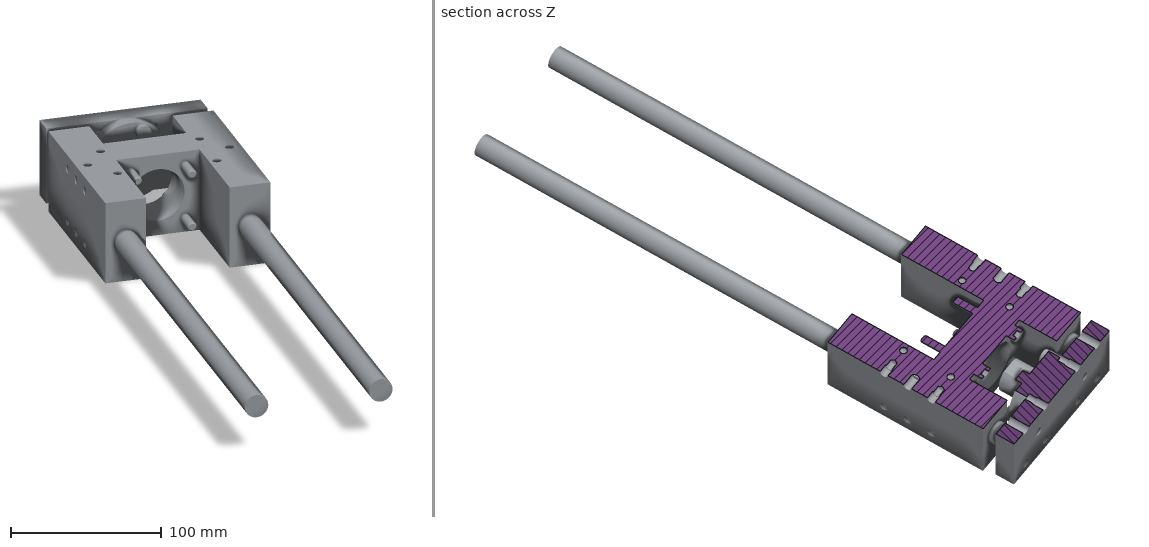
import cadquery as cq

housing_front = 24.0
housing_length = 125.0
housing_back = housing_front + housing_length
housing_width = 115.0
housing_height = 58.0
pocket_width = 58.0
web_front = 54.0
web_back = 83.0
web_bore_diameter = 37.0

overall_length = 437.0
plate_thickness = 15.0
plate_width = 112.5
plate_height = 54.0
rod_diameter = 16.0
rod_y = 43.3
flange_diameter = 55.0
boss_diameter = 24.0
boss_end = 42.5
boss_flat_start = 33.0
boss_across_flats = 21.0

flange_screw_diameter = 10.0
flange_screw_head = 5.2
flange_screw_circle = 45.0
flange_screw_angle = 20.0
flange_screw_count = 4

screw_pitch = 38.0
web_screw_head_diameter = 10.5
web_screw_head = 6.5
web_screw_shank_diameter = 6.0
web_screw_tip = 99.0
web_screw_tip_chamfer = 1.0
web_screw_socket = 5.0
web_screw_socket_depth = 3.0
socket_sides = 6

plate_thread_depth = 8.7
corner_hole_diameter = 6.5
corner_hole_spacing = 84.0
centre_hole_diameter = 6.0
centre_hole_spacing = 54.0

mount_x = 84.8
mount_pitch = screw_pitch
thread_diameter = 6.0
thread_depth = 6.0
core_diameter = 5.0
core_depth = 12.0
core_tip = 1.5
dowel_diameter = 6.0
dowel_depth = 10.0
top_thread_spacing = 69.0
top_dowel_spacing = 98.8


def cylinder_x(diameter, x_start, x_end, points):
    """Cylinders along X between two stations, one at each (y, z) point."""
    plane = cq.Workplane("YZ", origin=(x_start, 0, 0))
    return plane.pushPoints(points).circle(diameter / 2).extrude(x_end - x_start)


def block(x_start, x_end, width, height):
    """Box between two X stations, centred on the X axis."""
    return cq.Workplane("YZ", origin=(x_start, 0, 0)).rect(width, height).extrude(x_end - x_start)


def grid(y_pitch, z_pitch):
    """Four (y, z) points at the corners of a centred rectangle."""
    return [(sy * y_pitch / 2, sz * z_pitch / 2) for sy in (-1, 1) for sz in (-1, 1)]


screw_points = grid(screw_pitch, screw_pitch)
rod_points = [(-rod_y, 0), (rod_y, 0)]


def drilled(radius, depth, tip, point, direction):
    """Round drill, sunk from a face point, ending in a cone of the given length."""
    start = cq.Vector(*point)
    axis = cq.Vector(*direction)
    drill = cq.Solid.makeCylinder(radius, depth, start, axis)
    if tip > 0:
        drill = drill.fuse(cq.Solid.makeCone(radius, 0, tip, start + axis * depth, axis))
    return drill


def threaded_hole(point, direction):
    """Wide threaded mouth over a narrower core with a conical end."""
    thread = drilled(thread_diameter / 2, thread_depth, 0, point, direction)
    return thread.fuse(drilled(core_diameter / 2, core_depth, core_tip, point, direction))


def dowel_hole(point, direction):
    """Plain flat-bottomed hole."""
    return drilled(dowel_diameter / 2, dowel_depth, 0, point, direction)


def mounting_holes():
    """Threaded and dowel holes of the top face and both side faces."""
    top_z = housing_height / 2
    side_y = housing_width / 2
    thread_stations = [mount_x - mount_pitch / 2, mount_x + mount_pitch / 2]
    down = (0, 0, -1)
    holes = []
    for side in (-1, 1):
        inward = (0, -side, 0)
        holes.append(dowel_hole((mount_x, side * top_dowel_spacing / 2, top_z), down))
        holes += [threaded_hole((x, side * top_thread_spacing / 2, top_z), down) for x in thread_stations]
        for z in (-screw_pitch / 2, screw_pitch / 2):
            holes.append(dowel_hole((mount_x, side * side_y, z), inward))
            holes += [threaded_hole((x, side * side_y, z), inward) for x in thread_stations]
    return holes


def web_screws():
    """Socket-head screws through the web, with chamfered tips."""
    head_front = web_front - web_screw_head
    shanks = cylinder_x(web_screw_shank_diameter, web_front, web_screw_tip, screw_points)
    shanks = shanks.faces(">X").chamfer(web_screw_tip_chamfer)
    heads = cylinder_x(web_screw_head_diameter, head_front, web_front, screw_points)
    sockets = (
        cq.Workplane("YZ", origin=(head_front, 0, 0))
        .pushPoints(screw_points)
        .polygon(socket_sides, web_screw_socket, circumscribed=True)
        .extrude(web_screw_socket_depth)
    )
    return heads.cut(sockets).union(shanks)


def make_housing():
    """Body 1: H-shaped block with rod bores, mounting holes and the web screws."""
    body = block(housing_front, housing_back, housing_width, housing_height)
    body = body.cut(block(housing_front, web_front, pocket_width, housing_height))
    body = body.cut(block(web_back, housing_back, pocket_width, housing_height))
    body = body.cut(cylinder_x(web_bore_diameter, web_front, web_back, [(0, 0)]))
    body = body.cut(cylinder_x(rod_diameter, housing_front, housing_back, rod_points))
    for hole in mounting_holes():
        body = body.cut(cq.Workplane(hole))
    return body.union(web_screws())


def plate_holes():
    """Stepped threaded holes, corner holes and centre-line holes, all through the plate."""
    threads = cylinder_x(thread_diameter, 0, plate_thread_depth, screw_points)
    cores = cylinder_x(core_diameter, 0, plate_thickness, screw_points)
    corners = grid(corner_hole_spacing, screw_pitch)
    corner_holes = cylinder_x(corner_hole_diameter, 0, plate_thickness, corners)
    centres = [(-centre_hole_spacing / 2, 0), (centre_hole_spacing / 2, 0)]
    centre_holes = cylinder_x(centre_hole_diameter, 0, plate_thickness, centres)
    return threads.union(cores).union(corner_holes).union(centre_holes)


def coupling():
    """Flange with a flatted boss and a ring of screw heads."""
    flange = cylinder_x(flange_diameter, plate_thickness, housing_front, [(0, 0)])
    round_boss = cylinder_x(boss_diameter, housing_front, boss_flat_start, [(0, 0)])
    flat_boss = cylinder_x(boss_diameter, boss_flat_start, boss_end, [(0, 0)])
    flat_boss = flat_boss.intersect(block(boss_flat_start, boss_end, boss_diameter, boss_across_flats))
    heads = (
        cq.Workplane("YZ", origin=(housing_front, 0, 0))
        .polarArray(flange_screw_circle / 2, -flange_screw_angle, 360, flange_screw_count)
        .circle(flange_screw_diameter / 2)
        .extrude(flange_screw_head)
    )
    return flange.union(round_boss).union(flat_boss).union(heads)


def make_carriage():
    """Body 2: front plate with its guide rods and the piston coupling."""
    body = block(0, plate_thickness, plate_width, plate_height).cut(plate_holes())
    body = body.union(cylinder_x(rod_diameter, plate_thickness, overall_length, rod_points))
    return body.union(coupling())


housing = make_housing()
carriage = make_carriage()
result = cq.Compound.makeCompound([housing.val(), carriage.val()])